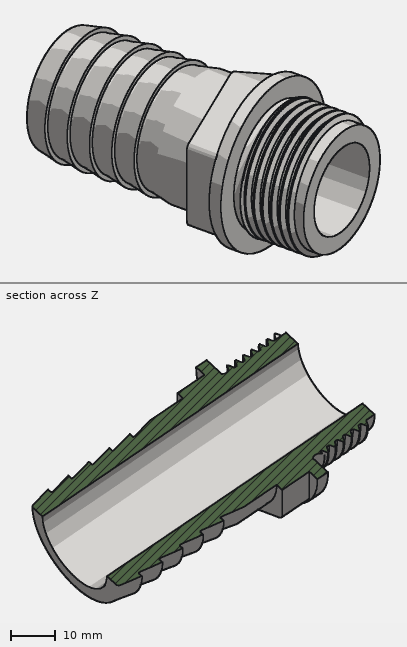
import cadquery as cq
import math

length = 75.0
bore_radius = 11.0

hose_radius = 16.1
barb_root_radius = 15.0
barb_pitch = 6.0
barb_count = 6
barb_land = 0.5
tip_rounding = 0.75

hex_start = 45.45
hex_end = 53.4
hex_across_flats = 36.0
hex_corner_rounding = 2.0
flange_end = 56.55
flange_radius = 20.85

relief_radius = 15.3
relief_rounding = 1.4
relief_bottom_x = 57.5
collar_radius = relief_radius + relief_rounding
collar_start = relief_bottom_x + relief_rounding
collar_width = 0.1

spigot_radius = 15.2
thread_crest_radius = 16.6
thread_pitch = 2.31
thread_turns = 6
thread_start = 59.0
thread_crest_width = 0.4
thread_base_width = 1.8
thread_embed = 0.2


def make_body():
    """Revolve the outer profile, including the barbs and the relief groove."""
    profile = (
        cq.Workplane("XY")
        .lineTo(0, barb_root_radius - tip_rounding)
        .radiusArc((tip_rounding, barb_root_radius), tip_rounding)
    )
    for barb in range(1, barb_count + 1):
        crest_x = barb * barb_pitch
        profile = profile.lineTo(crest_x, hose_radius)
        if barb < barb_count:
            profile = profile.lineTo(crest_x, barb_root_radius)
            profile = profile.lineTo(crest_x + barb_land, barb_root_radius)
    relief_run = relief_bottom_x - flange_end
    relief_shoulder_radius = collar_radius - math.sqrt(relief_rounding**2 - relief_run**2)
    profile = (
        profile.lineTo(hex_end, hose_radius)
        .lineTo(hex_end, flange_radius)
        .lineTo(flange_end, flange_radius)
        .lineTo(flange_end, relief_shoulder_radius)
        .radiusArc((relief_bottom_x, relief_radius), -relief_rounding)
        .radiusArc((collar_start, collar_radius), -relief_rounding)
        .lineTo(collar_start + collar_width, collar_radius)
        .lineTo(collar_start + collar_width, spigot_radius)
        .lineTo(length, spigot_radius)
        .lineTo(length, 0)
        .close()
    )
    return profile.revolve(360, (0, 0, 0), (1, 0, 0))


def make_hexagon():
    """Hexagon with flats facing +Y and -Y and rounded corners."""
    across_corners = hex_across_flats / math.cos(math.radians(30))
    return (
        cq.Workplane("YZ", origin=(hex_start, 0, 0))
        .transformed(rotate=(0, 0, 90))
        .polygon(6, across_corners)
        .extrude(hex_end - hex_start)
        .edges("|X")
        .fillet(hex_corner_rounding)
    )


def make_thread():
    """Sweep a trapezoidal rib along a helix that starts on the +Y side."""
    helix = cq.Wire.makeHelix(thread_pitch, thread_pitch * thread_turns, spigot_radius)
    base_radius = spigot_radius - thread_embed
    rib = (
        cq.Workplane("XZ")
        .polyline([
            (base_radius, -thread_base_width / 2),
            (thread_crest_radius, -thread_crest_width / 2),
            (thread_crest_radius, thread_crest_width / 2),
            (base_radius, thread_base_width / 2),
        ])
        .close()
        .sweep(cq.Workplane(obj=helix), isFrenet=True)
    )
    return rib.rotate((0, 0, 0), (1, 1, 1), 120).translate((thread_start, 0, 0))


def make_bore():
    """Straight passage through the whole part."""
    return cq.Workplane("YZ").circle(bore_radius).extrude(length)


result = make_body().union(make_hexagon()).union(make_thread()).cut(make_bore())